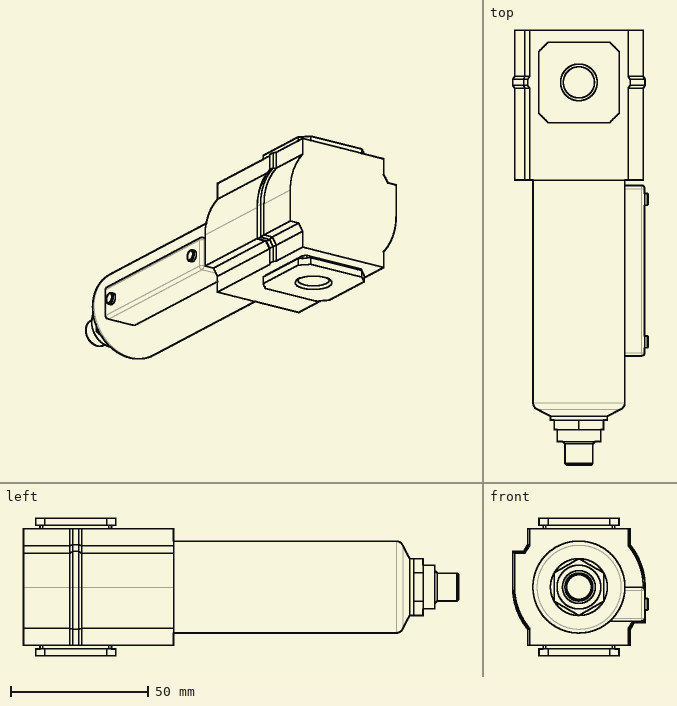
import cadquery as cq
import math


HEAD_LENGTH = 54.75
PORT_FROM_BACK = 19.1
HEAD_BACK_Y = PORT_FROM_BACK
HEAD_FRONT_Y = HEAD_BACK_Y - HEAD_LENGTH
HEAD_HALF_HEIGHT = 21.3
NECK_X = 18.0
NECK_CORNER_Z = 15.1
LUG_X = 23.5
LUG_SLOPE_X = 19.8
LUG_TOP_Z = 12.3

BAND_RISE = 0.7
BAND_BASE_WIDTH = 4.4
BAND_TOP_WIDTH = 2.1

FLANGE_SIZE = 29.3
FLANGE_CORNER = 3.4
FLANGE_OUTER_Z = 25.125
FLANGE_THICKNESS = 2.6
FLANGE_NECK_SIZE = 26.2
FLANGE_NECK_CORNER = 1.0
PORT_DIAMETER = 11.4
PORT_MOUTH_DIAMETER = 13.4
PORT_DEPTH = 12.0

BOWL_RADIUS = 16.8
BOWL_CONE_ANGLE = 62.5
BOWL_SHOULDER_RADIUS = 2.7
COLLAR_RADIUS = 10.4
COLLAR_START = 86.2
BOWL_LENGTH = 87.6

GAUGE_START = 1.9
GAUGE_LENGTH = 62.3
GAUGE_HEIGHT = 12.5
GAUGE_FACE_X = 24.0
GAUGE_ROUND = 1.2
SCREW_DIAMETER = 4.3
SCREW_TOP_X = 25.36
SCREW_CHAMFER = 0.4
SCREW_SPACING = 52.0

NUT_ACROSS_FLATS = 18.0
NUT_THICKNESS = 3.5
BOSS_RADIUS = 8.0
BOSS_LENGTH = 4.3
STEM_RADIUS = 5.1
STEM_ROOT_RADIUS = 6.0
STEM_ROOT_LENGTH = 0.9
STEM_CHAMFER = 0.6
OVERALL_LENGTH = 158.75


def head_outline(y, rise):
    """Closed head section at y; rise pushes both sides outward.

    The two sides are the same shape turned half a turn about the bowl axis.
    """
    radius = LUG_X + rise
    neck = NECK_X + rise
    arc_end_z = math.sqrt(radius**2 - neck**2)
    arc_mid = radius * math.cos(math.asin(arc_end_z / radius) / 2)
    arc_mid_z = math.sqrt(radius**2 - arc_mid**2)
    outline = cq.Workplane("XZ", origin=(0, y, 0)).moveTo(neck, HEAD_HALF_HEIGHT)
    for side in (-1, 1):
        outline = (
            outline.lineTo(side * neck, -side * HEAD_HALF_HEIGHT)
            .lineTo(side * neck, -side * (NECK_CORNER_Z + rise / 2))
            .lineTo(side * (LUG_SLOPE_X + rise / 2), -side * (LUG_TOP_Z + rise))
            .lineTo(side * radius, -side * (LUG_TOP_Z + rise))
            .lineTo(side * radius, 0)
            .threePointArc((side * arc_mid, side * arc_mid_z), (side * neck, side * arc_end_z))
            .lineTo(side * neck, side * HEAD_HALF_HEIGHT)
        )
    return outline.close().val()


def head_slice(y_start, rise_start, y_end, rise_end):
    """Solid between two head sections."""
    wires = [head_outline(y_start, rise_start), head_outline(y_end, rise_end)]
    return cq.Workplane(cq.Solid.makeLoft(wires, True))


def chamfered_plate(size, corner, bottom_z, top_z):
    plate = cq.Workplane("XY", origin=(0, 0, bottom_z)).rect(size, size).extrude(top_z - bottom_z)
    return plate.edges("|Z").chamfer(corner)


def make_head():
    half_base = BAND_BASE_WIDTH / 2
    half_top = BAND_TOP_WIDTH / 2
    head = head_slice(HEAD_BACK_Y, 0, HEAD_FRONT_Y, 0)
    head = head.union(head_slice(half_base, 0, half_top, BAND_RISE))
    head = head.union(head_slice(half_top, BAND_RISE, -half_top, BAND_RISE))
    head = head.union(head_slice(-half_top, BAND_RISE, -half_base, 0))

    flange_inner_z = FLANGE_OUTER_Z - FLANGE_THICKNESS
    flange = chamfered_plate(FLANGE_NECK_SIZE, FLANGE_NECK_CORNER, HEAD_HALF_HEIGHT, flange_inner_z)
    flange = flange.union(chamfered_plate(FLANGE_SIZE, FLANGE_CORNER, flange_inner_z, FLANGE_OUTER_Z))

    port_radius = PORT_DIAMETER / 2
    mouth_radius = PORT_MOUTH_DIAMETER / 2
    port = (
        cq.Workplane("XZ")
        .moveTo(0, FLANGE_OUTER_Z)
        .lineTo(mouth_radius, FLANGE_OUTER_Z)
        .lineTo(port_radius, FLANGE_OUTER_Z - (mouth_radius - port_radius))
        .lineTo(port_radius, FLANGE_OUTER_Z - PORT_DEPTH)
        .lineTo(0, FLANGE_OUTER_Z - PORT_DEPTH)
        .close()
        .revolve(360, (0, 0, 0), (0, 1, 0))
    )
    head = head.union(flange).union(flange.mirror("XY"))
    return head.cut(port).cut(port.mirror("XY"))


def make_gauge():
    """Gauge box with rounded outer edges and two screw heads, rooted at the bowl axis."""
    middle_y = HEAD_FRONT_Y - GAUGE_START - GAUGE_LENGTH / 2
    middle_z = -GAUGE_HEIGHT / 2
    gauge = (
        cq.Workplane("YZ", origin=(0, middle_y, middle_z))
        .rect(GAUGE_LENGTH, GAUGE_HEIGHT)
        .extrude(GAUGE_FACE_X)
        .edges("|X or >X")
        .fillet(GAUGE_ROUND)
    )
    for side in (-1, 1):
        screw = (
            cq.Workplane("YZ", origin=(GAUGE_FACE_X, middle_y + side * SCREW_SPACING / 2, middle_z))
            .circle(SCREW_DIAMETER / 2)
            .extrude(SCREW_TOP_X - GAUGE_FACE_X)
            .faces(">X")
            .chamfer(SCREW_CHAMFER)
        )
        gauge = gauge.union(screw)
    return gauge


def make_bowl():
    cone_angle = math.radians(BOWL_CONE_ANGLE)
    cone_length = (BOWL_RADIUS - COLLAR_RADIUS) / math.tan(cone_angle)
    corner_y = HEAD_FRONT_Y - COLLAR_START + cone_length
    setback = BOWL_SHOULDER_RADIUS * math.tan(cone_angle / 2)
    cone_start = (BOWL_RADIUS - setback * math.sin(cone_angle), corner_y - setback * math.cos(cone_angle))
    bowl = (
        cq.Workplane("XY")
        .moveTo(0, HEAD_FRONT_Y)
        .lineTo(BOWL_RADIUS, HEAD_FRONT_Y)
        .lineTo(BOWL_RADIUS, corner_y + setback)
        .tangentArcPoint(cone_start, relative=False)
        .lineTo(COLLAR_RADIUS, HEAD_FRONT_Y - COLLAR_START)
        .lineTo(COLLAR_RADIUS, HEAD_FRONT_Y - BOWL_LENGTH)
        .lineTo(0, HEAD_FRONT_Y - BOWL_LENGTH)
        .close()
        .revolve(360, (0, 0, 0), (0, 1, 0))
    )
    return bowl.union(make_gauge())


def make_drain():
    nut_y = HEAD_FRONT_Y - BOWL_LENGTH
    boss_y = nut_y - NUT_THICKNESS
    stem_y = boss_y - BOSS_LENGTH
    tip_y = HEAD_BACK_Y - OVERALL_LENGTH
    nut = (
        cq.Workplane("XZ", origin=(0, nut_y, 0))
        .polygon(6, NUT_ACROSS_FLATS, circumscribed=True)
        .extrude(NUT_THICKNESS)
    )
    spindle = (
        cq.Workplane("XY")
        .moveTo(0, boss_y)
        .lineTo(BOSS_RADIUS, boss_y)
        .lineTo(BOSS_RADIUS, stem_y)
        .lineTo(STEM_ROOT_RADIUS, stem_y)
        .lineTo(STEM_RADIUS, stem_y - STEM_ROOT_LENGTH)
        .lineTo(STEM_RADIUS, tip_y + STEM_CHAMFER)
        .lineTo(STEM_RADIUS - STEM_CHAMFER, tip_y)
        .lineTo(0, tip_y)
        .close()
        .revolve(360, (0, 0, 0), (0, 1, 0))
    )
    return nut.union(spindle)


head = make_head()
bowl = make_bowl()
drain = make_drain()

result = cq.Compound.makeCompound([head.val(), bowl.val(), drain.val()])